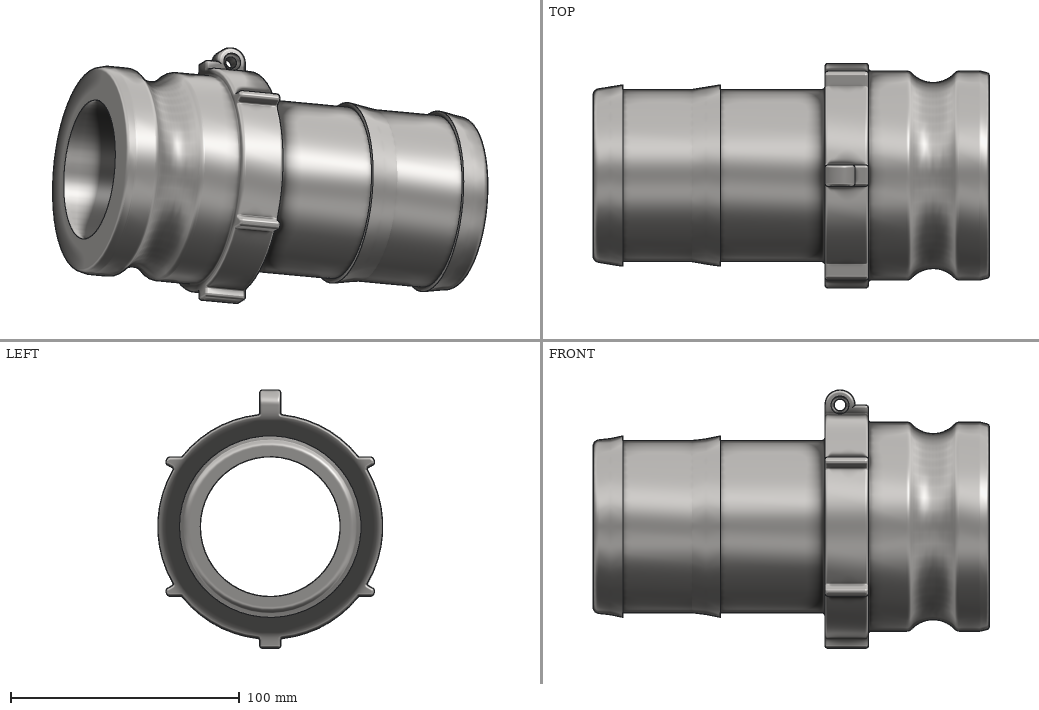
import cadquery as cq
import math

LENGTH = 173.3
BORE_RADIUS = 61.0 / 2

SHANK_RADIUS = 75.4 / 2
BARB_RADIUS = 39.7
FIRST_BARB_END = 13.0
SECOND_BARB_START = 43.3
SECOND_BARB_END = 55.6
TIP_FILLET = 3.0

COLLAR_START = 101.4
COLLAR_END = 120.5
COLLAR_LENGTH = COLLAR_END - COLLAR_START
COLLAR_RADIUS = 49.2
EDGE_FILLET = 1.4
SHANK_ROOT_FILLET = 1.4
ADAPTER_ROOT_FILLET = 1.0

RIB_REACH = 53.2
RIB_ROOT = 44.0
RIB_WIDTH = 9.4
RIB_ROOT_FILLET = 0.7
ROOT_TOLERANCE = 0.02
SIDE_RIB_REACH = 53.9
SIDE_RIB_TIP_FILLET = 1.5
SIDE_RIB_TOP = 30.5
SIDE_RIB_ANGLE = 30.0
SIDE_RIB_OFFSET = 0.9

EYE_RADIUS = 6.5
EYE_X = COLLAR_START + EYE_RADIUS
EYE_Z = RIB_REACH
EYE_HOLE_DIAMETER = 5.0
EYE_HOLE_FILLET = 1.4

ADAPTER_RADIUS = 91.5 / 2
GROOVE_CENTER_X = 148.7
GROOVE_FLOOR_RADIUS = 40.7
GROOVE_ARC_RADIUS = 13.0
GROOVE_EDGE_FILLET = 3.0
LEAD_IN_START = 169.1
LEAD_IN_DROP = 1.0
LEAD_IN_BLEND = 3.1
END_FILLET = 1.5


def revolved(profile):
    """Turn a closed (x, radius) profile about the X axis."""
    return profile.close().revolve(360, (0, 0, 0), (1, 0, 0))


def make_shank():
    """Shank with two barbs, a rounded tip and a concave root at the collar."""
    tip_radius = BARB_RADIUS - (BARB_RADIUS - SHANK_RADIUS) * FIRST_BARB_END / (
        SECOND_BARB_END - SECOND_BARB_START
    )
    root_start = COLLAR_START - SHANK_ROOT_FILLET
    profile = (
        cq.Workplane("XY")
        .lineTo(0, tip_radius)
        .lineTo(FIRST_BARB_END, BARB_RADIUS)
        .lineTo(FIRST_BARB_END, SHANK_RADIUS)
        .lineTo(SECOND_BARB_START, SHANK_RADIUS)
        .lineTo(SECOND_BARB_END, BARB_RADIUS)
        .lineTo(SECOND_BARB_END, SHANK_RADIUS)
        .lineTo(root_start, SHANK_RADIUS)
        .radiusArc((COLLAR_START, SHANK_RADIUS + SHANK_ROOT_FILLET), -SHANK_ROOT_FILLET)
        .lineTo(COLLAR_END, SHANK_RADIUS + SHANK_ROOT_FILLET)
        .lineTo(COLLAR_END, 0)
    )
    return revolved(profile).faces("<X").edges().fillet(TIP_FILLET)


def make_adapter():
    """Adapter with a tapered lead-in and a rounded groove, blended into the outside by convex arcs."""
    groove_center_radius = GROOVE_FLOOR_RADIUS + GROOVE_ARC_RADIUS
    center_rise = groove_center_radius - (ADAPTER_RADIUS - GROOVE_EDGE_FILLET)
    center_span = GROOVE_ARC_RADIUS + GROOVE_EDGE_FILLET
    groove_reach = math.sqrt(center_span**2 - center_rise**2)
    touch_x = groove_reach * GROOVE_ARC_RADIUS / center_span
    touch_radius = groove_center_radius - center_rise * GROOVE_ARC_RADIUS / center_span

    lead_in_angle = math.atan2(LEAD_IN_DROP, LENGTH - LEAD_IN_START)
    setback = LEAD_IN_BLEND * math.tan(lead_in_angle / 2)
    blend_end = (
        LEAD_IN_START + setback * math.cos(lead_in_angle),
        ADAPTER_RADIUS - setback * math.sin(lead_in_angle),
    )

    root_end = COLLAR_END + ADAPTER_ROOT_FILLET
    profile = (
        cq.Workplane("XY")
        .moveTo(COLLAR_START, 0)
        .lineTo(COLLAR_START, ADAPTER_RADIUS)
        .lineTo(COLLAR_END, ADAPTER_RADIUS)
        .lineTo(COLLAR_END, ADAPTER_RADIUS + ADAPTER_ROOT_FILLET)
        .radiusArc((root_end, ADAPTER_RADIUS), -ADAPTER_ROOT_FILLET)
        .lineTo(GROOVE_CENTER_X - groove_reach, ADAPTER_RADIUS)
        .radiusArc((GROOVE_CENTER_X - touch_x, touch_radius), GROOVE_EDGE_FILLET)
        .radiusArc((GROOVE_CENTER_X + touch_x, touch_radius), -GROOVE_ARC_RADIUS)
        .radiusArc((GROOVE_CENTER_X + groove_reach, ADAPTER_RADIUS), GROOVE_EDGE_FILLET)
        .lineTo(LEAD_IN_START - setback, ADAPTER_RADIUS)
        .radiusArc(blend_end, LEAD_IN_BLEND)
        .lineTo(LENGTH, ADAPTER_RADIUS - LEAD_IN_DROP)
        .lineTo(LENGTH, 0)
    )
    return revolved(profile).faces(">X").edges().fillet(END_FILLET)


def make_top_rib():
    """Radial rib that stands on the top of the collar."""
    rib = cq.Workplane("XY").box(
        COLLAR_LENGTH, RIB_WIDTH, RIB_REACH - RIB_ROOT, centered=(False, True, False)
    )
    rib = rib.translate((COLLAR_START, 0, RIB_ROOT))
    return rib.edges("|X and >Z").fillet(EDGE_FILLET)


def make_side_rib():
    """Rib on the +Y, +Z side: level upper flank, sloping lower flank, outer face square to the slope."""
    cosine = math.cos(math.radians(SIDE_RIB_ANGLE))
    sine = math.sin(math.radians(SIDE_RIB_ANGLE))

    def on_lower_flank(reach):
        return (reach * cosine - SIDE_RIB_OFFSET * sine, reach * sine + SIDE_RIB_OFFSET * cosine)

    root_y, root_z = on_lower_flank(RIB_ROOT)
    outer_top_y = (SIDE_RIB_REACH - SIDE_RIB_TOP * sine) / cosine
    rib = (
        cq.Workplane("YZ", origin=(COLLAR_START, 0, 0))
        .moveTo(root_y, root_z)
        .lineTo(*on_lower_flank(SIDE_RIB_REACH))
        .lineTo(outer_top_y, SIDE_RIB_TOP)
        .lineTo(root_y - RIB_WIDTH / 2, SIDE_RIB_TOP)
        .close()
        .extrude(COLLAR_LENGTH)
    )
    return rib.edges("|X").edges(">>Y[-1] or >>Y[-2]").fillet(SIDE_RIB_TIP_FILLET)


def make_collar():
    """Collar with six ribs, rounded all round both ends."""
    collar = cq.Workplane("YZ", origin=(COLLAR_START, 0, 0)).circle(COLLAR_RADIUS).extrude(COLLAR_LENGTH)
    top_rib = make_top_rib()
    upper_side_rib = make_side_rib()
    upper_side_ribs = upper_side_rib.union(upper_side_rib.mirror("XZ"))
    for upper_ribs in (top_rib, upper_side_ribs):
        collar = collar.union(upper_ribs).union(upper_ribs.mirror("XY"))
    root_edges = [
        edge
        for edge in collar.edges("|X").vals()
        if abs(math.hypot(edge.Center().y, edge.Center().z) - COLLAR_RADIUS) < ROOT_TOLERANCE
    ]
    collar = collar.newObject(root_edges).fillet(RIB_ROOT_FILLET)
    return collar.faces("<X or >X").edges().fillet(EDGE_FILLET)


def add_lanyard_eye(body):
    """Add the rounded lanyard eye on the top rib and drill it."""
    eye_plane = cq.Workplane("XZ", origin=(EYE_X, RIB_WIDTH / 2, EYE_Z))
    eye = (
        eye_plane.moveTo(-EYE_RADIUS, RIB_ROOT - EYE_Z)
        .lineTo(-EYE_RADIUS, 0)
        .threePointArc((0, EYE_RADIUS), (EYE_RADIUS, 0))
        .lineTo(EYE_RADIUS, RIB_ROOT - EYE_Z)
        .close()
        .extrude(RIB_WIDTH)
    )
    eye = eye.faces("<Y or >Y").edges().fillet(EDGE_FILLET)

    hole_radius = EYE_HOLE_DIAMETER / 2
    hole = eye_plane.circle(hole_radius).extrude(RIB_WIDTH)
    mouth = (
        cq.Workplane("XY")
        .moveTo(0, -RIB_WIDTH / 2)
        .lineTo(hole_radius + EYE_HOLE_FILLET, -RIB_WIDTH / 2)
        .radiusArc((hole_radius, -RIB_WIDTH / 2 + EYE_HOLE_FILLET), -EYE_HOLE_FILLET)
        .lineTo(0, -RIB_WIDTH / 2 + EYE_HOLE_FILLET)
        .close()
        .revolve(360, (0, 0, 0), (0, 1, 0))
        .translate((EYE_X, 0, EYE_Z))
    )
    return body.union(eye).cut(hole).cut(mouth).cut(mouth.mirror("XZ"))


result = add_lanyard_eye(make_collar()).union(make_shank()).union(make_adapter())

bore = cq.Workplane("YZ").circle(BORE_RADIUS).extrude(LENGTH)
result = result.cut(bore)